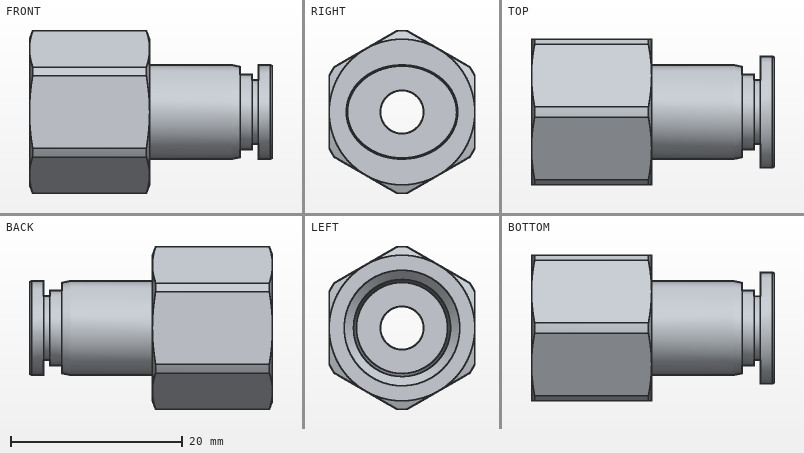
import cadquery as cq
import math

total_length = 28.35
through_hole_diameter = 5.02

hex_across_flats = 17.0
hex_corner_diameter = 19.0
hex_length = 14.0
hex_chamfer_length = 0.37

bore_mouth_diameter = 13.5
bore_diameter = 11.35
bore_depth = 12.6
bore_taper = 1 / 16

body_diameter = 11.0
body_straight_end = 23.6
body_end = 24.58
body_nose_diameter = 10.6
collar_diameter = 8.8
collar_end = 25.97
neck_diameter = 7.48

button_width = 13.0
button_height = body_diameter
button_length = 1.65
button_edge_length = 0.25
button_edge_inset = 0.15

button_start = total_length - button_length


def revolve_profile(points):
    """Revolve a closed outline of (x, radius) points around the X axis."""
    return cq.Workplane("XY").polyline(points).close().revolve(360, (0, 0, 0), (1, 0, 0))


def section_plane(x):
    """Plane across the axis at x, with local x along +Y and local y along +Z."""
    return cq.Workplane("YZ", origin=(x, 0, 0))


def make_hexagon():
    across_corners = hex_across_flats / math.cos(math.pi / 6)
    prism = (
        section_plane(0)
        .transformed(rotate=(0, 0, 90))
        .polygon(6, across_corners)
        .extrude(hex_length)
    )
    face_radius = hex_across_flats / 2
    corner_radius = hex_corner_diameter / 2
    envelope = revolve_profile([
        (0, 0),
        (0, face_radius),
        (hex_chamfer_length, corner_radius),
        (hex_length - hex_chamfer_length, corner_radius),
        (hex_length, face_radius),
        (hex_length, 0),
    ])
    return prism.intersect(envelope)


def make_body():
    return revolve_profile([
        (bore_depth, 0),
        (bore_depth, body_diameter / 2),
        (body_straight_end, body_diameter / 2),
        (body_end, body_nose_diameter / 2),
        (body_end, collar_diameter / 2),
        (collar_end, collar_diameter / 2),
        (collar_end, neck_diameter / 2),
        (button_start, neck_diameter / 2),
        (button_start, 0),
    ])


def make_button():
    half_width = button_width / 2
    half_height = button_height / 2
    rim_length = button_length - button_edge_length
    rim = section_plane(button_start).ellipse(half_width, half_height).extrude(rim_length)
    edge = (
        section_plane(button_start + rim_length)
        .ellipse(half_width, half_height)
        .workplane(offset=button_edge_length)
        .ellipse(half_width - button_edge_inset, half_height - button_edge_inset)
        .loft(ruled=True)
    )
    return rim.union(edge)


def make_thread_bore():
    mouth_radius = bore_mouth_diameter / 2
    bore_radius = bore_diameter / 2
    mouth_depth = mouth_radius - bore_radius
    floor_radius = bore_radius - (bore_depth - mouth_depth) * bore_taper / 2
    return revolve_profile([
        (0, 0),
        (0, mouth_radius),
        (mouth_depth, bore_radius),
        (bore_depth, floor_radius),
        (bore_depth, 0),
    ])


through_hole = section_plane(0).circle(through_hole_diameter / 2).extrude(total_length)

result = (
    make_hexagon()
    .union(make_body())
    .union(make_button())
    .cut(make_thread_bore())
    .cut(through_hole)
)